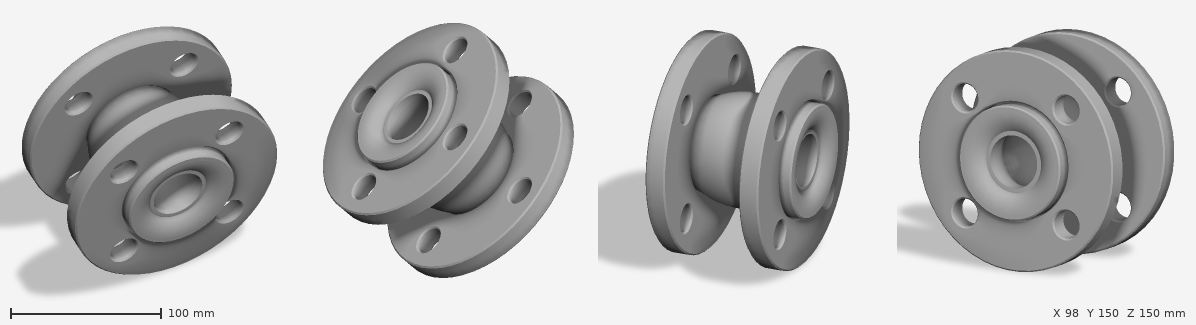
import cadquery as cq
import math


length = 98.0
half_length = length / 2
bead_radius = 78 / 2
bead_chamfer = 1.0
barrel_radius = 78 / 2
neck_radius = 62.1 / 2
barrel_half_length = 27.3
barrel_edge_radius = 32.5

mouth_radius = 69.3 / 2
ledge_radius = 42 / 2
mouth_depth = 6
throat_radius = 36 / 2
throat_end = 36.9
cavity_half_length = 24
cavity_edge_radius = 20.7

flange_radius = 150 / 2
flange_inner_face = 27
flange_thickness = 14.1
flange_outer_face = flange_inner_face + flange_thickness
edge_chamfer = 1.0
recess_radius = 80.0 / 2
recess_depth = flange_thickness / 2
recess_floor = flange_outer_face - recess_depth
bore_radius = 65.4 / 2

bolt_hole_radius = 19.0 / 2
bolt_spacing = 78
bolt_chamfer = 1.0

barrel_half_angle = math.atan2(barrel_radius - barrel_edge_radius, barrel_half_length)
neck_run = (barrel_edge_radius - neck_radius) / math.tan(barrel_half_angle)
neck_arc_radius = neck_run / math.sin(2 * barrel_half_angle)
neck_start = barrel_half_length + neck_run
neck_mid_x = neck_start - neck_arc_radius * math.sin(barrel_half_angle)
neck_mid_radius = neck_radius + neck_arc_radius * (1 - math.cos(barrel_half_angle))

mouth_width = mouth_radius - ledge_radius
mouth_arc_radius = (mouth_width**2 + mouth_depth**2) / (2 * mouth_depth)
mouth_half_angle = math.atan2(mouth_depth, mouth_width)
mouth_mid_x = half_length - mouth_arc_radius * (1 - math.cos(mouth_half_angle))
mouth_mid_radius = mouth_radius - mouth_arc_radius * math.sin(mouth_half_angle)

throat_run = throat_end - cavity_half_length
throat_half_angle = math.atan2(cavity_edge_radius - throat_radius, throat_run)
throat_arc_radius = throat_run / math.sin(2 * throat_half_angle)
throat_mid_x = throat_end - throat_arc_radius * math.sin(throat_half_angle)
throat_mid_radius = throat_radius + throat_arc_radius * (1 - math.cos(throat_half_angle))
cavity_radius = cavity_edge_radius + cavity_half_length * math.tan(throat_half_angle)


def make_bellows():
    """Barrel with a sealing bead and a flared mouth at each end."""
    ledge_x = half_length - mouth_depth
    profile = (
        cq.Workplane("XY")
        .moveTo(-neck_start, neck_radius)
        .threePointArc((-neck_mid_x, neck_mid_radius), (-barrel_half_length, barrel_edge_radius))
        .threePointArc((0, barrel_radius), (barrel_half_length, barrel_edge_radius))
        .threePointArc((neck_mid_x, neck_mid_radius), (neck_start, neck_radius))
        .lineTo(recess_floor, neck_radius)
        .lineTo(recess_floor, bead_radius)
        .lineTo(half_length - bead_chamfer, bead_radius)
        .lineTo(half_length, bead_radius - bead_chamfer)
        .lineTo(half_length, mouth_radius)
        .threePointArc((mouth_mid_x, mouth_mid_radius), (ledge_x, ledge_radius))
        .lineTo(ledge_x, throat_radius)
        .lineTo(throat_end, throat_radius)
        .threePointArc((throat_mid_x, throat_mid_radius), (cavity_half_length, cavity_edge_radius))
        .threePointArc((0, cavity_radius), (-cavity_half_length, cavity_edge_radius))
        .threePointArc((-throat_mid_x, throat_mid_radius), (-throat_end, throat_radius))
        .lineTo(-ledge_x, throat_radius)
        .lineTo(-ledge_x, ledge_radius)
        .threePointArc((-mouth_mid_x, mouth_mid_radius), (-half_length, mouth_radius))
        .lineTo(-half_length, bead_radius - bead_chamfer)
        .lineTo(-half_length + bead_chamfer, bead_radius)
        .lineTo(-recess_floor, bead_radius)
        .lineTo(-recess_floor, neck_radius)
        .close()
    )
    return profile.revolve(360, (0, 0, 0), (1, 0, 0))


def make_flange(side):
    """Flange ring at the +X (side = 1) or -X (side = -1) end, seating the bead in a recess."""
    outline = [
        (flange_inner_face, bore_radius + edge_chamfer),
        (flange_inner_face, flange_radius - edge_chamfer),
        (flange_inner_face + edge_chamfer, flange_radius),
        (flange_outer_face - edge_chamfer, flange_radius),
        (flange_outer_face, flange_radius - edge_chamfer),
        (flange_outer_face, recess_radius + edge_chamfer),
        (flange_outer_face - edge_chamfer, recess_radius),
        (recess_floor, recess_radius),
        (recess_floor, bore_radius),
        (flange_inner_face + edge_chamfer, bore_radius),
    ]
    ring = (
        cq.Workplane("XY")
        .polyline([(side * x, radius) for x, radius in outline])
        .close()
        .revolve(360, (0, 0, 0), (1, 0, 0))
    )
    return ring.cut(make_bolt_holes(side))


def make_bolt_holes(side):
    """Four bolt holes on a square, chamfered at both faces."""
    wide_radius = bolt_hole_radius + bolt_chamfer
    outline = [
        (flange_inner_face, 0),
        (flange_inner_face, wide_radius),
        (flange_inner_face + bolt_chamfer, bolt_hole_radius),
        (flange_outer_face - bolt_chamfer, bolt_hole_radius),
        (flange_outer_face, wide_radius),
        (flange_outer_face, 0),
    ]
    hole = (
        cq.Workplane("XY")
        .polyline([(side * x, radius) for x, radius in outline])
        .close()
        .revolve(360, (0, 0, 0), (1, 0, 0))
    )
    holes = cq.Workplane("XY")
    for y_sign in (-1, 1):
        for z_sign in (-1, 1):
            offset = (0, y_sign * bolt_spacing / 2, z_sign * bolt_spacing / 2)
            holes = holes.add(hole.translate(offset))
    return cq.Compound.makeCompound(holes.vals())


bellows = make_bellows()
flanges = [make_flange(side) for side in (-1, 1)]

flange_solids = [flange.val().Solids()[0] for flange in flanges]

result = cq.Compound.makeCompound([bellows.val(), *flange_solids])